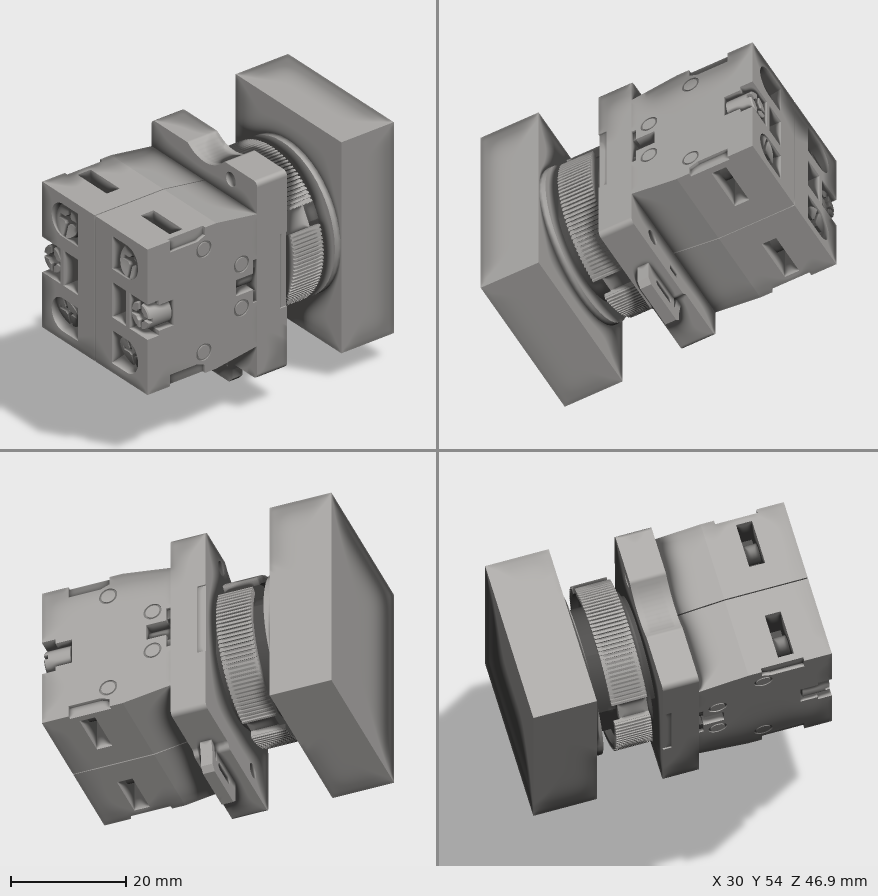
import cadquery as cq
import math

LENGTH = 54.0
WIDTH = 30.0
HEIGHT = 46.9
HALF_WIDTH = WIDTH / 2
CUT_MARGIN = 0.55

HEAD_HEIGHT = 42.3
HEAD_REAR = 42.5
SHOULDER_RADIUS = 14.8
SHOULDER_REAR = 41.25

NECK_RADIUS = 10.9
NECK_HALF_WIDTH = 10.1
NECK_KEY_WIDTH = 4.0

NUT_FRONT = 38.8
NUT_REAR = 32.4
NUT_RADIUS = 14.8
KNURL_COUNT = 120
KNURL_DEPTH = 0.45
NOTCH_ANGLES = (30, 150, 270)
NOTCH_WIDTH = 4.0
NOTCH_FLOOR_RADIUS = 13.05
NUT_RECESS_RADIUS = 13.45
NUT_RECESS_DEPTH = 1.2
WASHER_RADIUS = 12.0
WASHER_REAR = 31.45

PLATE_FRONT = 30.55
PLATE_REAR = 24.05
PLATE_LEFT_TOP = 18.65
PLATE_RIGHT_TOP = 19.55
PLATE_LEFT_BOTTOM = -20.8
PLATE_RIGHT_BOTTOM = -19.85
PLATE_STEP_X = 3.5
PLATE_FILLET = 0.95
SADDLE_RADIUS = 7.3
SADDLE_BOTTOM = 16.9
PLATE_HOLE_RADIUS = 1.4
PLATE_HOLES = ((7.5, 16.8), (-7.5, -17.15))
PLATE_SLOT_WIDTH = 2.65
PLATE_SLOT_HEIGHT = 1.25
PLATE_SLOT_Z = -18.35
PLATE_SLOT_DEPTH = 2.7
SIDE_RELIEF_DEPTH = 0.25
SIDE_RELIEF_LENGTH = 1.55
SIDE_RELIEF_HEIGHT = 14.9

TAB_THICKNESS = 2.15
TAB_CENTRE_Y = 27.05
TAB_BOTTOM = HEAD_HEIGHT / 2 - HEIGHT
TAB_LEFT = -5.45
TAB_RIGHT = 5.45
TAB_CHAMFER = 0.95
TAB_TOP = -19.45
TAB_BEND_Z = -22.95
TAB_LEAN = 0.2
SLIT_LEFT = 3.65
SLIT_WIDTH = 0.45
TAB_WINDOW_LENGTH = 5.25
TAB_WINDOW_HEIGHT = 1.35
TAB_WINDOW_Z = -22.85

BLOCK_WIDTH = 29.9
BLOCK_HEIGHT = 29.15
BLOCK_PLATE_HEIGHT = 26.45
BLOCK_TAPER_START = 15.05
BLOCK_GAP = 0.2

TERMINAL_X = 9.05
TERMINAL_Z = 9.45
TERMINAL_RADIUS = 3.2
POCKET_INNER_X = 4.8
POCKET_DEPTH = 4.05
TERMINAL_TILT = 15
SCREW_RADIUS = 3.15
SCREW_FACE_DEPTH = 1.15
SCREW_LENGTH = 1.6
CROSS_WIDTH = 0.8
CROSS_SHORT_ARM = 4.75
CROSS_CORE = 1.75
CROSS_DEPTH = 0.8
SHANK_RADIUS = 1.8

WIRE_OUTER_X = 13.05
WIRE_FRONT = 6.3
WIRE_REAR = 9.2
WIRE_DEPTH = 8.1

MIDDLE_POCKET_WIDTH = 4.1
MIDDLE_POCKET_HEIGHT = 7.1
MIDDLE_POCKET_DEPTH = 5.4
CLAMP_RADIUS = 2.6
CLAMP_X = HALF_WIDTH - CLAMP_RADIUS
CLAMP_FACE = 0.3
CLAMP_REAR = 5.25
CLAMP_CHANNEL_REAR = 5.65
CLAMP_STEP_DEPTH = 2.55
CLAMP_CHAMFER = 0.2
CLAMP_SLOT_WIDTH = 0.85
CLAMP_SLOT_DEPTH = 0.85
CLAMP_BORE_RADIUS = 1.2
CLAMP_BORE_DEPTH = 1.6

CLIP_DEPTH = 0.75
CLIP_FRONT = 4.95
CLIP_RAMP_START = 10.95
CLIP_REAR = 12.65
CLIP_FLOOR_Z = 12.25
CLIP_RAMP_Z = 12.95

RIVETS = ((12.35, 10.3), (20.65, 4.4))
RIVET_OUTER_RADIUS = 1.7
RIVET_INNER_RADIUS = 1.3
RIVET_DEPTH = 0.3
LATCH_WIDE_HEIGHT = 8.6
LATCH_WIDE_DEPTH = 0.65
LATCH_HEIGHT = 4.7
LATCH_LENGTH = 0.85
LATCH_PIN_RADIUS = 1.6
LATCH_PIN_X = 12.05
LATCH_PIN_END = 19.45


def box(x0, x1, y0, y1, z0, z1):
    """Box between the given limits."""
    return cq.Workplane("XY").box(x1 - x0, y1 - y0, z1 - z0, centered=False).translate((x0, y0, z0))


def rod(radius, y0, y1, x=0, z=0):
    """Cylinder along Y."""
    return cq.Workplane("XZ", origin=(x, y0, z)).circle(radius).extrude(y0 - y1)


def mirrored_x(shape):
    """The shape together with its mirror image across X = 0."""
    return shape.union(shape.mirror("YZ"))


def mirrored_z(shape):
    """The shape together with its mirror image across Z = 0."""
    return shape.union(shape.mirror("XY"))


def make_head():
    half_height = HEAD_HEIGHT / 2
    head = box(-HALF_WIDTH, HALF_WIDTH, HEAD_REAR, LENGTH, -half_height, half_height)
    return head.union(rod(SHOULDER_RADIUS, SHOULDER_REAR, HEAD_REAR))


def make_neck():
    key_flat = math.sqrt(NECK_RADIUS**2 - (NECK_KEY_WIDTH / 2) ** 2)
    envelope = box(
        -NECK_HALF_WIDTH, NECK_HALF_WIDTH, PLATE_FRONT, SHOULDER_REAR, -NECK_RADIUS, key_flat
    )
    return rod(NECK_RADIUS, PLATE_FRONT, SHOULDER_REAR).intersect(envelope)


def make_nut():
    pitch = 2 * math.pi / KNURL_COUNT
    root_radius = NUT_RADIUS - KNURL_DEPTH
    half_tooth = pitch / 4
    outline = []
    for tooth in range(KNURL_COUNT):
        start = tooth * pitch - half_tooth
        end = tooth * pitch + half_tooth
        corners = ((root_radius, start), (NUT_RADIUS, start), (NUT_RADIUS, end), (root_radius, end))
        for radius, angle in corners:
            outline.append((radius * math.cos(angle), radius * math.sin(angle)))
    rear_sketch = cq.Workplane("XZ", origin=(0, NUT_REAR, 0))
    nut = rear_sketch.polyline(outline).close().extrude(NUT_REAR - NUT_FRONT)
    notch = box(
        NOTCH_FLOOR_RADIUS, NUT_RADIUS + CUT_MARGIN, NUT_REAR, NUT_FRONT, -NOTCH_WIDTH / 2, NOTCH_WIDTH / 2
    )
    for angle in NOTCH_ANGLES:
        nut = nut.cut(notch.rotate((0, 0, 0), (0, 1, 0), -angle))
    nut = nut.cut(rod(NUT_RECESS_RADIUS, NUT_FRONT - NUT_RECESS_DEPTH, NUT_FRONT))
    return nut.union(rod(WASHER_RADIUS, WASHER_REAR, NUT_REAR))


def make_plate():
    saddle_z = SADDLE_BOTTOM + SADDLE_RADIUS
    saddle_left = -math.sqrt(SADDLE_RADIUS**2 - (saddle_z - PLATE_LEFT_TOP) ** 2)
    saddle_right = math.sqrt(SADDLE_RADIUS**2 - (saddle_z - PLATE_RIGHT_TOP) ** 2)
    step_height = PLATE_RIGHT_BOTTOM - PLATE_LEFT_BOTTOM
    plate = (
        cq.Workplane("XZ", origin=(0, PLATE_REAR, 0))
        .moveTo(-HALF_WIDTH, PLATE_LEFT_BOTTOM)
        .lineTo(PLATE_STEP_X, PLATE_LEFT_BOTTOM)
        .lineTo(PLATE_STEP_X + step_height, PLATE_RIGHT_BOTTOM)
        .lineTo(HALF_WIDTH, PLATE_RIGHT_BOTTOM)
        .lineTo(HALF_WIDTH, PLATE_RIGHT_TOP)
        .lineTo(saddle_right, PLATE_RIGHT_TOP)
        .threePointArc((0, SADDLE_BOTTOM), (saddle_left, PLATE_LEFT_TOP))
        .lineTo(-HALF_WIDTH, PLATE_LEFT_TOP)
        .close()
        .extrude(PLATE_REAR - PLATE_FRONT)
        .edges("|Y")
        .fillet(PLATE_FILLET)
    )
    for x, z in PLATE_HOLES:
        plate = plate.cut(rod(PLATE_HOLE_RADIUS, PLATE_REAR, PLATE_FRONT, x, z))
    slot = (
        cq.Workplane("XZ", origin=(0, PLATE_REAR, PLATE_SLOT_Z))
        .rect(PLATE_SLOT_WIDTH, PLATE_SLOT_HEIGHT)
        .extrude(-PLATE_SLOT_DEPTH)
    )
    relief = box(
        -HALF_WIDTH, -HALF_WIDTH + SIDE_RELIEF_DEPTH,
        PLATE_FRONT - SIDE_RELIEF_LENGTH, PLATE_FRONT,
        -SIDE_RELIEF_HEIGHT / 2, SIDE_RELIEF_HEIGHT / 2,
    )
    return plate.cut(slot).cut(mirrored_x(relief))


def make_tab():
    lean = TAB_LEAN * (TAB_TOP - TAB_BEND_Z)
    sketch = cq.Workplane("XZ", origin=(0, TAB_CENTRE_Y, 0))
    tab = (
        sketch.moveTo(TAB_LEFT, TAB_TOP)
        .lineTo(TAB_LEFT, TAB_BOTTOM + TAB_CHAMFER)
        .lineTo(TAB_LEFT + TAB_CHAMFER, TAB_BOTTOM)
        .lineTo(TAB_RIGHT - TAB_CHAMFER, TAB_BOTTOM)
        .lineTo(TAB_RIGHT, TAB_BOTTOM + TAB_CHAMFER)
        .lineTo(TAB_RIGHT, TAB_BEND_Z)
        .lineTo(TAB_RIGHT + lean, TAB_TOP)
        .close()
        .extrude(TAB_THICKNESS / 2, both=True)
    )
    slit = (
        sketch.moveTo(SLIT_LEFT, TAB_TOP)
        .lineTo(SLIT_LEFT, TAB_BEND_Z)
        .lineTo(SLIT_LEFT + SLIT_WIDTH, TAB_BEND_Z)
        .lineTo(SLIT_LEFT + SLIT_WIDTH + lean, TAB_TOP)
        .close()
        .extrude(TAB_THICKNESS, both=True)
    )
    window = (
        sketch.center(0, TAB_WINDOW_Z)
        .slot2D(TAB_WINDOW_LENGTH, TAB_WINDOW_HEIGHT)
        .extrude(TAB_THICKNESS, both=True)
    )
    return tab.cut(slit).cut(window)


def make_block_pair():
    half_height = BLOCK_HEIGHT / 2
    half_plate = BLOCK_PLATE_HEIGHT / 2
    profile = [
        (0, -half_height),
        (BLOCK_TAPER_START, -half_height),
        (PLATE_REAR, -half_plate),
        (PLATE_REAR, half_plate),
        (BLOCK_TAPER_START, half_height),
        (0, half_height),
    ]
    blocks = cq.Workplane("YZ").polyline(profile).close().extrude(BLOCK_WIDTH / 2, both=True)
    return blocks.cut(box(-BLOCK_GAP / 2, BLOCK_GAP / 2, 0, PLATE_REAR, -half_height, half_height))


def tilted_plane(depth):
    """Plane across the tilted screw axis, at a depth along that axis below the terminal face."""
    tilt = math.radians(TERMINAL_TILT)
    outward = (0, -math.cos(tilt), math.sin(tilt))
    origin = (-TERMINAL_X, depth * math.cos(tilt), TERMINAL_Z - depth * math.sin(tilt))
    return cq.Workplane(cq.Plane(origin=origin, xDir=(1, 0, 0), normal=outward))


def terminal_pocket():
    """Upper left terminal pocket: round on the outside, square towards the middle, flat floor."""
    inner = TERMINAL_X - POCKET_INNER_X
    prism = (
        tilted_plane(2 * POCKET_DEPTH)
        .moveTo(0, TERMINAL_RADIUS)
        .lineTo(inner, TERMINAL_RADIUS)
        .lineTo(inner, -TERMINAL_RADIUS)
        .lineTo(0, -TERMINAL_RADIUS)
        .threePointArc((-TERMINAL_RADIUS, 0), (0, TERMINAL_RADIUS))
        .close()
        .extrude(3 * POCKET_DEPTH)
    )
    return prism.intersect(box(-HALF_WIDTH, 0, 0, POCKET_DEPTH, 0, BLOCK_HEIGHT / 2))


def terminal_screw():
    """Upper left terminal screw with its cross slot and its straight shank."""
    screw = tilted_plane(SCREW_FACE_DEPTH + SCREW_LENGTH).circle(SCREW_RADIUS).extrude(SCREW_LENGTH)
    face = tilted_plane(SCREW_FACE_DEPTH)
    screw = screw.cut(face.rect(CROSS_WIDTH, 2 * SCREW_RADIUS).extrude(-CROSS_DEPTH))
    screw = screw.cut(face.rect(CROSS_SHORT_ARM, CROSS_WIDTH).extrude(-CROSS_DEPTH))
    core = face.transformed(rotate=(0, 0, 45)).rect(CROSS_CORE, CROSS_CORE).extrude(-CROSS_DEPTH)
    shank = rod(SHANK_RADIUS, SCREW_FACE_DEPTH + SCREW_LENGTH, WIRE_REAR, -TERMINAL_X, TERMINAL_Z)
    return screw.cut(core).union(shank)


def wire_opening():
    half_height = BLOCK_HEIGHT / 2
    return box(-WIRE_OUTER_X, -POCKET_INNER_X, WIRE_FRONT, WIRE_REAR, half_height - WIRE_DEPTH, half_height)


def middle_pocket():
    right = -POCKET_INNER_X
    half_height = MIDDLE_POCKET_HEIGHT / 2
    return box(right - MIDDLE_POCKET_WIDTH, right, 0, MIDDLE_POCKET_DEPTH, -half_height, half_height)


def clamp_recess():
    half_height = MIDDLE_POCKET_HEIGHT / 2
    step = box(-HALF_WIDTH, CLAMP_RADIUS - CLAMP_X, 0, CLAMP_STEP_DEPTH, -half_height, half_height)
    channel = box(-HALF_WIDTH, -CLAMP_X, 0, CLAMP_CHANNEL_REAR, -CLAMP_RADIUS, CLAMP_RADIUS)
    return step.union(channel)


def clamp_screw():
    screw = rod(CLAMP_RADIUS, CLAMP_FACE, CLAMP_REAR, -CLAMP_X).faces("<Y").chamfer(CLAMP_CHAMFER)
    slot_end = CLAMP_FACE + CLAMP_SLOT_DEPTH
    half_slot = CLAMP_SLOT_WIDTH / 2
    slot = box(
        -CLAMP_X - CLAMP_RADIUS, -CLAMP_X + CLAMP_RADIUS, CLAMP_FACE, slot_end, -half_slot, half_slot
    )
    cross_slot = slot.rotate((-CLAMP_X, 0, 0), (-CLAMP_X, 1, 0), 90)
    bore = rod(CLAMP_BORE_RADIUS, CLAMP_FACE, CLAMP_FACE + CLAMP_BORE_DEPTH, -CLAMP_X)
    return screw.cut(slot).cut(cross_slot).cut(bore)


def clip_recess():
    top = BLOCK_HEIGHT / 2
    profile = [
        (CLIP_FRONT, top),
        (CLIP_FRONT, CLIP_FLOOR_Z),
        (CLIP_RAMP_START, CLIP_FLOOR_Z),
        (CLIP_REAR, CLIP_RAMP_Z),
        (CLIP_REAR, top),
    ]
    return cq.Workplane("YZ", origin=(-HALF_WIDTH, 0, 0)).polyline(profile).close().extrude(CLIP_DEPTH)


def rivet_rings():
    return (
        cq.Workplane("YZ", origin=(-HALF_WIDTH, 0, 0))
        .pushPoints(RIVETS)
        .circle(RIVET_OUTER_RADIUS)
        .circle(RIVET_INNER_RADIUS)
        .extrude(RIVET_DEPTH)
    )


def latch_opening():
    """Stepped opening next to the plate with a narrow channel for the latch pin."""
    opening = box(
        -HALF_WIDTH, -LATCH_PIN_X, LATCH_PIN_END, PLATE_REAR,
        -LATCH_PIN_RADIUS, LATCH_PIN_RADIUS,
    )
    shallow_end = -HALF_WIDTH + LATCH_WIDE_DEPTH
    for inner_x, height in ((shallow_end, LATCH_WIDE_HEIGHT), (-LATCH_PIN_X, LATCH_HEIGHT)):
        step = box(
            -HALF_WIDTH, inner_x, PLATE_REAR - LATCH_LENGTH, PLATE_REAR, -height / 2, height / 2
        )
        opening = opening.union(step)
    return opening


def latch_pin():
    return rod(LATCH_PIN_RADIUS, LATCH_PIN_END, PLATE_REAR, -LATCH_PIN_X)


def make_contact_blocks():
    blocks = make_block_pair()
    for cut in (terminal_pocket(), wire_opening(), clip_recess(), rivet_rings()):
        blocks = blocks.cut(mirrored_x(mirrored_z(cut)))
    for cut in (middle_pocket(), clamp_recess(), latch_opening()):
        blocks = blocks.cut(mirrored_x(cut))
    blocks = blocks.union(mirrored_x(mirrored_z(terminal_screw())))
    blocks = blocks.union(mirrored_x(clamp_screw()))
    return blocks.union(mirrored_x(latch_pin()))


result = (
    make_head()
    .union(make_neck())
    .union(make_nut())
    .union(make_plate())
    .union(make_tab())
    .union(make_contact_blocks())
)